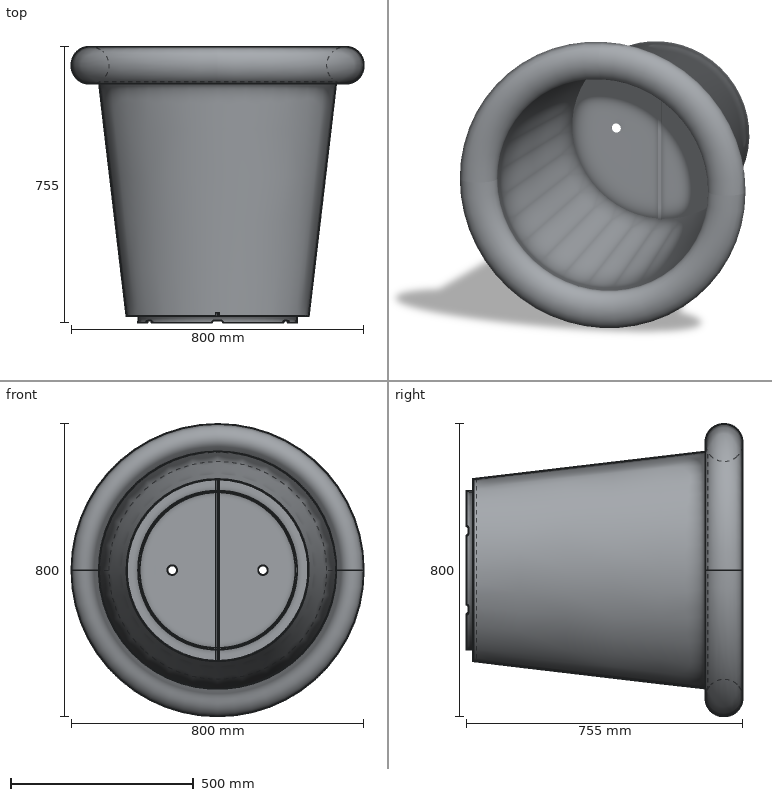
import cadquery as cq

pot_length = 755.0
rim_outer_radius = 400.0

rim_bar_radius = 51.0
rim_ring_radius = rim_outer_radius - rim_bar_radius
rim_y = pot_length - rim_bar_radius

base_radius = 250.0
wall_radius_at_rim = 330.0
wall_thickness = 2.0
inner_radius_at_rim = wall_radius_at_rim - wall_thickness
inner_base_radius = base_radius - wall_thickness

foot_height = 18.0
foot_outer_radius = 218.0
foot_thickness = 5.0
foot_inner_radius = foot_outer_radius - foot_thickness
floor_y = foot_height + wall_thickness

notch_depth = 6.0
notch_mouth_width = 34.0
notch_root_width = notch_mouth_width - 2 * notch_depth
notch_angles = (30, 90, 150)

drain_radius = 13.0
drain_offset = 124.0

bar_height = 10.0
bar_width = 5.0


def revolve_about_y(profile):
    """Turn a profile drawn as (Y, radius) in the YZ plane a full circle about the Y axis."""
    return profile.revolve(360, (0, 0, 0), (-1, 0, 0))


def make_rim_ring():
    """The whole rim as one torus."""
    profile = cq.Workplane("YZ").moveTo(rim_y, rim_ring_radius).circle(rim_bar_radius)
    return revolve_about_y(profile)


def make_rim_half(side):
    """One half of the rim: side is +1 for the half above Z = 0 and -1 for the half below."""
    size = 2 * rim_outer_radius
    half_space = cq.Workplane("XY").box(2 * size, 2 * size, size)
    return make_rim_ring().intersect(half_space.translate((0, rim_y, side * size / 2)))


def make_shell():
    """Solid of revolution made of the floor, the tapered wall and the foot ring."""
    profile = (
        cq.Workplane("YZ")
        .moveTo(floor_y, 0)
        .lineTo(foot_height, 0)
        .lineTo(foot_height, foot_inner_radius)
        .lineTo(0, foot_inner_radius)
        .lineTo(0, foot_outer_radius)
        .lineTo(foot_height, foot_outer_radius)
        .lineTo(foot_height, base_radius)
        .lineTo(rim_y, wall_radius_at_rim)
        .lineTo(rim_y, inner_radius_at_rim)
        .lineTo(floor_y, inner_base_radius)
        .close()
    )
    return revolve_about_y(profile)


def make_inner_space():
    """Tapered space bounded by the inner face of the wall, from the base to the middle of the rim."""
    profile = (
        cq.Workplane("YZ")
        .moveTo(foot_height, 0)
        .lineTo(foot_height, inner_base_radius)
        .lineTo(floor_y, inner_base_radius)
        .lineTo(rim_y, inner_radius_at_rim)
        .lineTo(rim_y, 0)
        .close()
    )
    return revolve_about_y(profile)


def make_notch_cutter(angle):
    """Long trapezoidal prism across the pot axis; angle is measured from X towards Z."""
    return (
        cq.Workplane("YZ")
        .polyline([
            (0, -notch_mouth_width / 2),
            (notch_depth, -notch_root_width / 2),
            (notch_depth, notch_root_width / 2),
            (0, notch_mouth_width / 2),
        ])
        .close()
        .extrude(base_radius, both=True)
        .rotate((0, 0, 0), (0, 1, 0), angle)
    )


def make_drain_cutter():
    """Two round cutters parallel to Y, placed either side of the axis."""
    return (
        cq.Workplane("XZ")
        .pushPoints([(-drain_offset, 0), (drain_offset, 0)])
        .circle(drain_radius)
        .extrude(-rim_y)
    )


def make_pot(bars):
    """Shell with a seat for the rim, drain holes, foot notches and a slot that fits the bars."""
    pot = make_shell().cut(make_rim_ring()).cut(make_drain_cutter())
    for angle in notch_angles:
        pot = pot.cut(make_notch_cutter(angle))
    for bar in bars:
        pot = pot.cut(bar)
    return pot


def make_bar(side):
    """One bar level with the base, its ends following the wall; side is -1 or +1 along X."""
    bar = cq.Workplane("XY").box(bar_width, bar_height, 2 * rim_outer_radius)
    bar = bar.translate((side * bar_width / 2, foot_height + bar_height / 2, 0))
    return bar.intersect(make_inner_space())


bars = [make_bar(side) for side in (-1, 1)]
pot = make_pot(bars)
rim_halves = [make_rim_half(side) for side in (-1, 1)]

result = cq.Compound.makeCompound([
    pot.val(),
    *[rim_half.val() for rim_half in rim_halves],
    *[bar.val() for bar in bars],
])